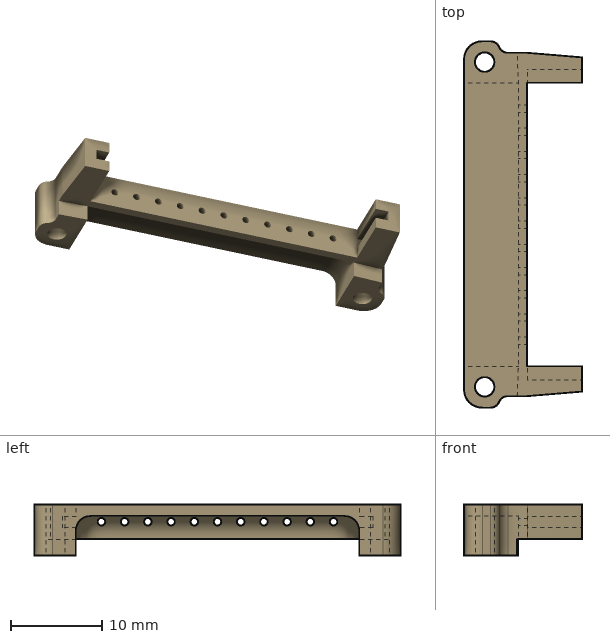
import cadquery as cq

length_x = 12.93
length_y = 40.12
height = 5.6
half_y = length_y / 2

bar_width = 6.93
corner_radius = 2.0
ear_flat_end = 2.9
ear_blend_end = 4.8
arm_outer_y = 18.8
arm_tip_y = 18.3
arm_inner_y = 15.5

arm_bottom = 1.8
leg_outer_length = 5.8
wall_thickness = 1.0
pocket_depth = bar_width - wall_thickness
leg_inner_length = pocket_depth
pocket_top = 4.33
pocket_radius = 1.6

slot_height = 1.2
slot_depth = 1.5
slot_center_z = (arm_bottom + height) / 2

mount_diameter = 2.1
mount_x = 2.27
mount_y = 17.77
pin_diameter = 0.8
pin_pitch = 2.54
pin_count = 11
pin_z = slot_center_z


def box(x_range, y_range, z_range):
    """Box between the given limits along each axis."""
    x0, x1 = x_range
    y0, y1 = y_range
    z0, z1 = z_range
    return cq.Workplane("XY").box(x1 - x0, y1 - y0, z1 - z0, centered=False).translate((x0, y0, z0))


def half_outline():
    """Outline of the +Y half: bar, rounded ear and tapered arm, at full height."""
    arc_run = (ear_blend_end - ear_flat_end) / 2
    arc_drop = (half_y - arm_outer_y) / 2
    arc_radius = (arc_run**2 + arc_drop**2) / (2 * arc_drop)
    inflection = (ear_flat_end + arc_run, half_y - arc_drop)
    corner_start = (0, half_y - corner_radius)
    corner_end = (corner_radius, half_y)
    return (
        cq.Workplane("XY")
        .lineTo(*corner_start)
        .radiusArc(corner_end, corner_radius)
        .lineTo(ear_flat_end, half_y)
        .radiusArc(inflection, arc_radius)
        .radiusArc((ear_blend_end, arm_outer_y), -arc_radius)
        .lineTo(bar_width, arm_outer_y)
        .lineTo(length_x, arm_tip_y)
        .lineTo(length_x, arm_inner_y)
        .lineTo(bar_width, arm_inner_y)
        .lineTo(bar_width, 0)
        .close()
        .extrude(height)
    )


def half_body():
    """+Y half with its leg, board slot and mounting hole."""
    body = half_outline()
    below_arm = (
        cq.Workplane("XY")
        .moveTo(leg_inner_length, arm_inner_y)
        .lineTo(leg_outer_length, arm_outer_y)
        .lineTo(length_x, arm_outer_y)
        .lineTo(length_x, arm_inner_y)
        .close()
        .extrude(arm_bottom)
    )
    below_bar = box((0, bar_width), (0, arm_inner_y), (0, arm_bottom))
    slot = box(
        (bar_width, length_x),
        (arm_inner_y, arm_inner_y + slot_depth),
        (slot_center_z - slot_height / 2, slot_center_z + slot_height / 2),
    )
    mount_hole = (
        cq.Workplane("XY").center(mount_x, mount_y).circle(mount_diameter / 2).extrude(height)
    )
    return body.cut(below_arm).cut(below_bar).cut(slot).cut(mount_hole)


def connector_pocket():
    """Recess under the bar, open to -X and -Z, with rounded upper corners."""
    pocket = box((0, pocket_depth), (-arm_inner_y, arm_inner_y), (0, pocket_top))
    return pocket.edges("|X and >Z").fillet(pocket_radius)


def pin_holes():
    """Row of pin holes through the wall behind the pocket."""
    return (
        cq.Workplane("YZ")
        .center(0, pin_z)
        .rarray(pin_pitch, 1, pin_count, 1)
        .circle(pin_diameter / 2)
        .extrude(bar_width)
    )


half = half_body()
body = half.union(half.mirror("XZ"))
result = body.cut(connector_pocket()).cut(pin_holes())